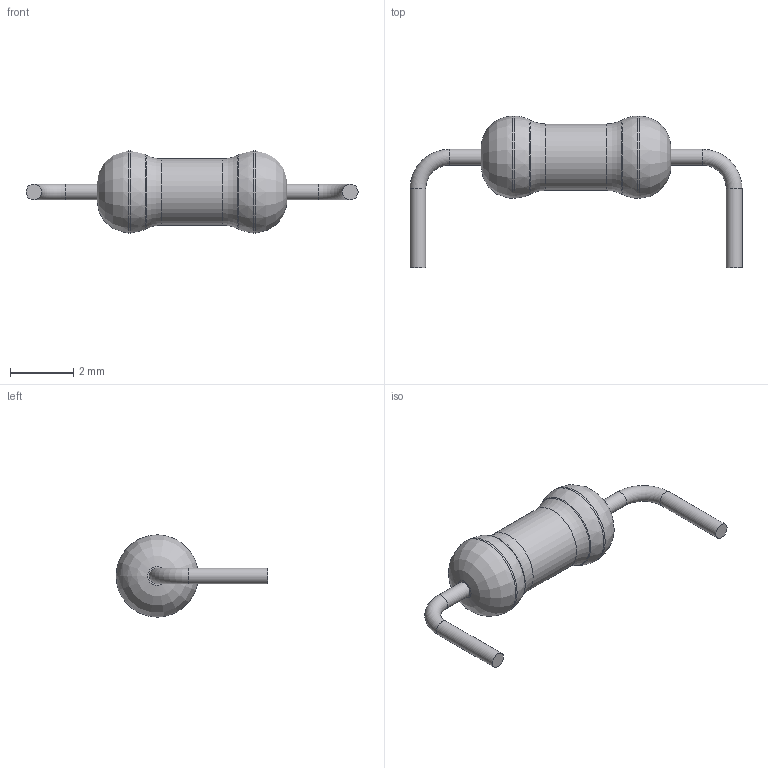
import cadquery as cq
import math

lead_pitch = 10.0
lead_diameter = 0.5
bend_radius = 1.0
leg_reach = 3.5

housing_length = 6.0
bulb_radius = 1.3
bulb_end_round = 1.0
bulb_band_width = 0.06
waist_radius = 1.05
shoulder_blend_radius = 1.0
shoulder_angle = math.radians(28)

lead_radius = lead_diameter / 2
half_pitch = lead_pitch / 2
half_length = housing_length / 2
diagonal = math.sqrt(0.5)


def make_lead():
    """Round wire with a rounded 90 degree bend at each end."""
    bend_x = half_pitch - bend_radius
    bend_mid_x = bend_x + bend_radius * diagonal
    bend_mid_y = -bend_radius + bend_radius * diagonal
    path = (
        cq.Workplane("XY")
        .moveTo(-half_pitch, -leg_reach)
        .lineTo(-half_pitch, -bend_radius)
        .threePointArc((-bend_mid_x, bend_mid_y), (-bend_x, 0))
        .lineTo(bend_x, 0)
        .threePointArc((bend_mid_x, bend_mid_y), (half_pitch, -bend_radius))
        .lineTo(half_pitch, -leg_reach)
    )
    leg_tip = cq.Workplane("XZ", origin=(-half_pitch, -leg_reach, 0))
    return leg_tip.circle(lead_radius).sweep(path)


def right_half_profile():
    """Points (x, radius) of the outline from the waist to the right end face."""
    band_outer_x = half_length - bulb_end_round
    band_inner_x = band_outer_x - bulb_band_width
    convex_centre_radius = bulb_radius - shoulder_blend_radius
    concave_centre_radius = waist_radius + shoulder_blend_radius

    arc_run = shoulder_blend_radius * math.sin(shoulder_angle)
    arc_drop = shoulder_blend_radius * (1 - math.cos(shoulder_angle))
    cone_drop = bulb_radius - waist_radius - 2 * arc_drop
    cone_run = cone_drop / math.tan(shoulder_angle)
    waist_end_x = band_inner_x - 2 * arc_run - cone_run

    half_run = shoulder_blend_radius * math.sin(shoulder_angle / 2)
    half_height = shoulder_blend_radius * math.cos(shoulder_angle / 2)
    round_reach = bulb_end_round * diagonal
    end_flat_radius = bulb_radius - bulb_end_round

    return {
        "waist_end": (waist_end_x, waist_radius),
        "concave_mid": (waist_end_x + half_run, concave_centre_radius - half_height),
        "cone_start": (waist_end_x + arc_run, waist_radius + arc_drop),
        "cone_end": (band_inner_x - arc_run, bulb_radius - arc_drop),
        "convex_mid": (band_inner_x - half_run, convex_centre_radius + half_height),
        "band_inner": (band_inner_x, bulb_radius),
        "band_outer": (band_outer_x, bulb_radius),
        "round_mid": (band_outer_x + round_reach, end_flat_radius + round_reach),
        "end_flat": (half_length, end_flat_radius),
    }


def make_housing():
    """Dog-bone housing with a through hole that fits the wire."""
    right = right_half_profile()
    left = {name: (-x, radius) for name, (x, radius) in right.items()}
    outline = (
        cq.Workplane("XY")
        .moveTo(-half_length, lead_radius)
        .lineTo(*left["end_flat"])
        .threePointArc(left["round_mid"], left["band_outer"])
        .lineTo(*left["band_inner"])
        .threePointArc(left["convex_mid"], left["cone_end"])
        .lineTo(*left["cone_start"])
        .threePointArc(left["concave_mid"], left["waist_end"])
        .lineTo(*right["waist_end"])
        .threePointArc(right["concave_mid"], right["cone_start"])
        .lineTo(*right["cone_end"])
        .threePointArc(right["convex_mid"], right["band_inner"])
        .lineTo(*right["band_outer"])
        .threePointArc(right["round_mid"], right["end_flat"])
        .lineTo(half_length, lead_radius)
        .close()
    )
    return outline.revolve(360, (0, 0, 0), (1, 0, 0))


housing = make_housing()
lead = make_lead()

result = cq.Compound.makeCompound([housing.val(), lead.val()])